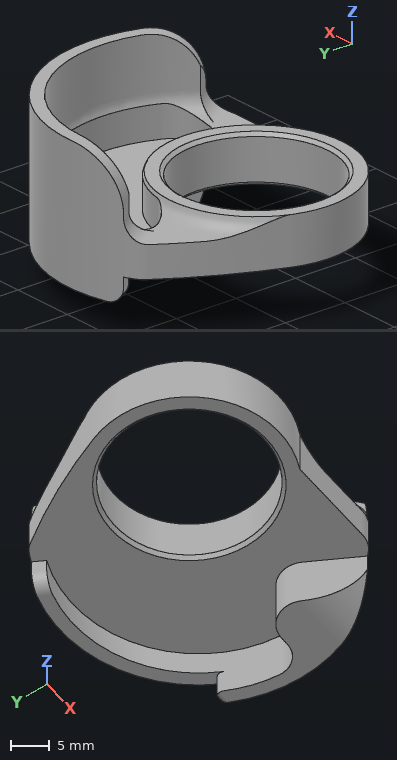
import cadquery as cq
import math

ring_radius = 14.5
bore_radius = 11.98
bore_chamfer = 0.52

overall_x = 43.55
overall_y = 40.33
cup_radius = 22.2
cup_x = overall_x - ring_radius - cup_radius
cup_y = overall_y - ring_radius - cup_radius
wall = 2.0
inner_radius = cup_radius - wall

skirt_bottom = 4.0
plate_bottom = 8.0
pocket_floor = 10.0
ledge_z = 12.98
ring_top = 15.5
wall_top = 25.0

flat_y = -12.98
left_tangent_angle = math.radians(159.0)
left_corner_x = -4.05
corner_radius = 4.0

opening_angle = 30.0
upper_end = 10.2
lower_end = 14.85
lower_skirt_end = 14.35
blend_radius = 3.5

pocket_step = 0.3
pocket_gap = 0.2
upper_pocket_radius = 4.35
lower_pocket_radius = 5.4

wall_round = 8.2
upper_round_point = (6.0, 25.8)
upper_round_angle = 202.0
lower_round_point = (27.7, -3.8)
lower_round_angle = 228.0
skirt_round = 2.5

deep_end_y = 14.5
deep_end_round = 1.05
deep_bottom_round = 0.9
tongue_y = 1.8
tongue_tip_radius = 3.9
tongue_root_radius = 3.5
tongue_round = 8.0
tongue_round_y = -3.88

reach = 65.32


def disc(x, y, radius, bottom, top):
    return cq.Workplane("XY", origin=(x, y, bottom)).circle(radius).extrude(top - bottom)


def opening_block(end, side, bottom, top):
    """Space on the ring side of an end plane; side is 1 for the upper half, -1 for the lower."""
    return (
        cq.Workplane("XY", origin=(0, 0, bottom))
        .center(end - reach / 2, side * reach / 2)
        .rect(reach, reach)
        .extrude(top - bottom)
    )


def turned(block):
    return block.rotate((0, 0, 0), (0, 0, 1), opening_angle)


def corner_waste(point, angle, radius, edge_z, is_top, half_length=6.55):
    """Material outside a quarter round that runs out along the given plan angle."""
    nx = math.cos(math.radians(angle))
    ny = math.sin(math.radians(angle))
    drop = -radius if is_top else radius
    bend = math.sqrt(0.5)
    plane = cq.Plane(origin=(*point, edge_z), xDir=(nx, ny, 0), normal=(ny, -nx, 0))
    return (
        cq.Workplane(plane)
        .moveTo(0, 0)
        .threePointArc((radius * bend, drop * (1 - bend)), (radius, drop))
        .lineTo(2 * radius, drop)
        .lineTo(2 * radius, 0)
        .close()
        .extrude(half_length, both=True)
    )


def fillet_at(body, x, y, radius):
    """Round the vertical edge at a plan position."""
    near = cq.selectors.BoxSelector((x - 0.2, y - 0.2, -reach), (x + 0.2, y + 0.2, reach))
    return body.edges("|Z").edges(near).fillet(radius)


def circle_x(radius, y):
    return cup_x + math.sqrt(radius**2 - (y - cup_y) ** 2)


def make_blank():
    flat_start = (math.sqrt(ring_radius**2 - flat_y**2), flat_y)
    flat_corner = (circle_x(cup_radius, flat_y), flat_y)
    cup_far = (cup_x + cup_radius * math.sqrt(0.5), cup_y + cup_radius * math.sqrt(0.5))
    left_corner = (left_corner_x, cup_y + math.sqrt(cup_radius**2 - (left_corner_x - cup_x) ** 2))
    cos_left = math.cos(left_tangent_angle)
    sin_left = math.sin(left_tangent_angle)
    left_start = (ring_radius * cos_left, ring_radius * sin_left)
    dx = left_corner[0] - left_start[0]
    dy = left_corner[1] - left_start[1]
    side_radius = -(dx**2 + dy**2) / (2 * (dx * cos_left + dy * sin_left))
    center_x = left_start[0] - side_radius * cos_left
    center_y = left_start[1] - side_radius * sin_left
    end_angle = math.atan2(left_corner[1] - center_y, left_corner[0] - center_x)
    mid_angle = (left_tangent_angle + end_angle) / 2
    side_middle = (
        center_x + side_radius * math.cos(mid_angle),
        center_y + side_radius * math.sin(mid_angle),
    )
    blank = (
        cq.Workplane("XY", origin=(0, 0, plate_bottom))
        .moveTo(*flat_start)
        .lineTo(*flat_corner)
        .threePointArc(cup_far, left_corner)
        .threePointArc(side_middle, left_start)
        .threePointArc((0, -ring_radius), flat_start)
        .close()
        .extrude(wall_top - plate_bottom)
    )
    blank = fillet_at(blank, *flat_corner, corner_radius)
    return fillet_at(blank, *left_corner, corner_radius)


def make_ring_flare():
    """Ring with its outside flared by a concave blend down to the ledge."""
    center_z = ledge_z + blend_radius
    top_offset = math.sqrt(blend_radius**2 - (center_z - ring_top) ** 2)
    foot = ring_radius + top_offset
    sweep_middle = (math.pi + math.atan2(center_z - ring_top, top_offset) + 1.5 * math.pi) / 2
    arc_middle = (
        foot + blend_radius * math.cos(sweep_middle),
        center_z + blend_radius * math.sin(sweep_middle),
    )
    return (
        cq.Workplane("XZ")
        .moveTo(0, plate_bottom)
        .lineTo(0, ring_top)
        .lineTo(ring_radius, ring_top)
        .threePointArc(arc_middle, (foot, ledge_z))
        .lineTo(foot, plate_bottom)
        .close()
        .revolve(360, (0, 0, 0), (0, 1, 0))
    )


def make_clearance():
    """Space inside the cup and over the ledges, rounded where it meets the ledge level."""
    top = wall_top + 0.45
    space = disc(cup_x, cup_y, inner_radius, ledge_z, top).faces("<Z").edges().fillet(blend_radius)
    for end, side in ((upper_end, 1), (lower_end, -1)):
        block = opening_block(end, side, ledge_z, top)
        space = space.union(turned(block.edges("|Y and >X and <Z").fillet(blend_radius)))
    return space.cut(make_ring_flare())


def pocket_end(radius, side, inner, outer):
    """Tangent points and tip of an end arc touching the inner and outer pocket arcs."""
    spacing = math.hypot(cup_x, cup_y)
    from_ring = inner + radius
    from_cup = outer - radius
    along = (from_ring**2 - from_cup**2 + spacing**2) / (2 * spacing)
    across = side * math.sqrt(from_ring**2 - along**2)
    x = (along * cup_x - across * cup_y) / spacing
    y = (along * cup_y + across * cup_x) / spacing
    on_inner = (x * inner / from_ring, y * inner / from_ring)
    on_outer = (
        cup_x + (x - cup_x) * outer / from_cup,
        cup_y + (y - cup_y) * outer / from_cup,
    )
    chord_x = on_outer[0] - on_inner[0]
    chord_y = on_outer[1] - on_inner[1]
    chord = math.hypot(chord_x, chord_y)
    tip = (x - side * radius * chord_y / chord, y + side * radius * chord_x / chord)
    return on_inner, tip, on_outer


def make_pocket():
    inner = ring_radius + pocket_gap
    outer = inner_radius - pocket_step
    upper_in, upper_tip, upper_out = pocket_end(upper_pocket_radius, 1, inner, outer)
    lower_in, lower_tip, lower_out = pocket_end(lower_pocket_radius, -1, inner, outer)
    axis = math.atan2(cup_y, cup_x)
    inner_middle = (inner * math.cos(axis), inner * math.sin(axis))
    outer_middle = (cup_x + outer * math.cos(axis), cup_y + outer * math.sin(axis))
    return (
        cq.Workplane("XY", origin=(0, 0, pocket_floor))
        .moveTo(*upper_in)
        .threePointArc(upper_tip, upper_out)
        .threePointArc(outer_middle, lower_out)
        .threePointArc(lower_tip, lower_in)
        .threePointArc(inner_middle, upper_in)
        .close()
        .extrude(wall_top - pocket_floor)
    )


def make_cup():
    cup = make_blank().cut(make_clearance()).cut(make_pocket())
    cup = cup.cut(corner_waste(upper_round_point, upper_round_angle, wall_round, wall_top, True))
    return cup.cut(corner_waste(lower_round_point, lower_round_angle, wall_round, wall_top, True))


def make_skirt():
    """Curved wall under the plate, shallow at the upper end."""
    skirt = disc(cup_x, cup_y, cup_radius, skirt_bottom, plate_bottom)
    skirt = skirt.cut(disc(cup_x, cup_y, inner_radius, skirt_bottom, plate_bottom))
    for end, side in ((upper_end, 1), (lower_skirt_end, -1)):
        skirt = skirt.cut(turned(opening_block(end, side, skirt_bottom, plate_bottom)))
    angle = math.radians(opening_angle)
    along = upper_end + skirt_round
    across = math.sqrt(cup_radius**2 - (along - cup_x) ** 2)
    round_point = (
        along * math.cos(angle) - across * math.sin(angle),
        along * math.sin(angle) + across * math.cos(angle),
    )
    round_angle = opening_angle + 180
    return skirt.cut(corner_waste(round_point, round_angle, skirt_round, skirt_bottom, False))


def make_deep_wall():
    """Full-depth wall with a tongue running inward from it."""
    angle = math.radians(opening_angle)
    tip_x = (lower_skirt_end - tongue_y * math.sin(angle)) / math.cos(angle)
    body = disc(cup_x, cup_y, cup_radius, 0, plate_bottom)
    hollow = disc(cup_x, cup_y, inner_radius, 0, plate_bottom)
    hollow = hollow.rotate((cup_x, cup_y, 0), (cup_x, cup_y, 1), 180)
    above_tongue = (
        cq.Workplane("XY")
        .center(0, tongue_y + reach / 2)
        .rect(2 * reach, reach)
        .extrude(plate_bottom)
    )
    body = body.cut(hollow.intersect(above_tongue))
    body = body.cut(above_tongue.translate((0, deep_end_y - tongue_y, 0)))
    for side in (1, -1):
        body = body.cut(turned(opening_block(lower_skirt_end, side, 0, plate_bottom)))
    body = fillet_at(body, tip_x, tongue_y, tongue_tip_radius)
    body = fillet_at(body, circle_x(inner_radius, tongue_y), tongue_y, tongue_root_radius)
    body = fillet_at(body, circle_x(inner_radius, deep_end_y), deep_end_y, deep_end_round)
    wall_end = (circle_x(inner_radius, deep_end_y), deep_end_y - deep_bottom_round)
    return body.cut(corner_waste(wall_end, 90, deep_bottom_round, 0, False))


def make_underside():
    tongue_edge = (lower_skirt_end, tongue_round_y)
    waste = corner_waste(tongue_edge, -90, tongue_round, 0, False, half_length=reach)
    return make_skirt().union(make_deep_wall()).cut(waste)


def make_bore():
    """Through bore chamfered at both mouths."""
    bore = disc(0, 0, bore_radius, plate_bottom, ring_top)
    for mouth_z, depth in ((ring_top, -bore_chamfer), (plate_bottom, bore_chamfer)):
        mouth = (
            cq.Workplane("XY", origin=(0, 0, mouth_z))
            .circle(bore_radius + bore_chamfer)
            .workplane(offset=depth)
            .circle(bore_radius)
            .loft()
        )
        bore = bore.union(mouth)
    return bore


result = make_cup().union(make_underside()).cut(make_bore())